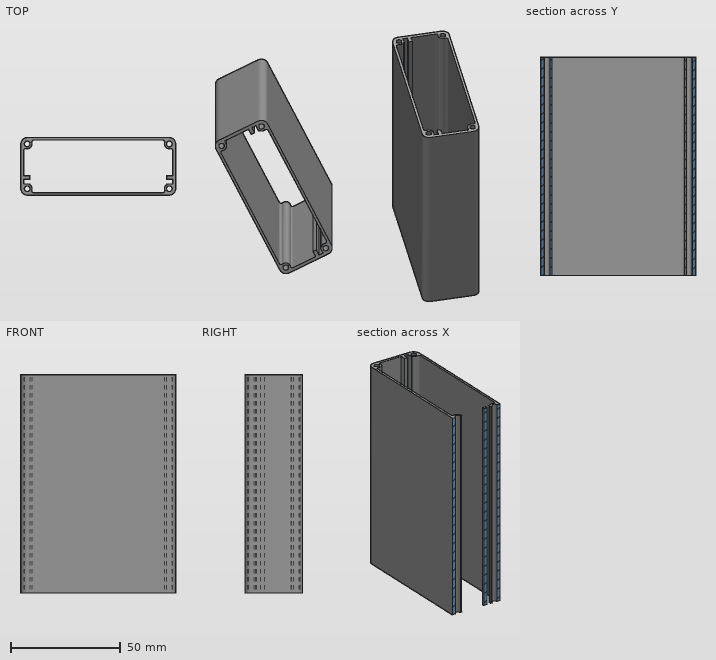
import cadquery as cq
import math

width = 71.0
depth = 26.5
length = 100.0
corner_radius = 3.25

side_wall = 1.5
face_wall = 1.2
cavity_corner_radius = 1.0

screw_inset = 3.0
screw_diameter = 2.5
boss_radius = 2.25
face_fillet = 1.0
side_fillet = 0.75

slot_bottom = screw_inset + boss_radius
slot_height = 2.0
rail_thickness = 1.75
rail_tip = 4.2

screw_x = width / 2 - screw_inset
screw_y = depth / 2 - screw_inset
cavity_x = width / 2 - side_wall
cavity_y = depth / 2 - face_wall
SIDES = (-1, 1)


def make_tube():
    """Rectangular tube with rounded outer corners."""
    outer = cq.Workplane("XY").rect(width, depth).extrude(length).edges("|Z").fillet(corner_radius)
    cavity = cq.Workplane("XY").rect(2 * cavity_x, 2 * cavity_y).extrude(length)
    cavity = cavity.edges("|Z").fillet(cavity_corner_radius)
    return outer.cut(cavity)


def screw_cylinders(radius):
    """Full-length cylinders on the four screw axes."""
    return (
        cq.Workplane("XY")
        .rect(2 * screw_x, 2 * screw_y, forConstruction=True)
        .vertices()
        .circle(radius)
        .extrude(length)
    )


def edge_at(body, x, y):
    """The edge along Z that passes through (x, y)."""
    return body.edges(cq.selectors.NearestToPointSelector((x, y, length / 2)))


def blend_bosses(body):
    """Fillet the inner corners where the bosses meet the walls."""
    reach_on_face = math.sqrt(boss_radius**2 - (cavity_y - screw_y) ** 2)
    reach_on_side = math.sqrt(boss_radius**2 - (cavity_x - screw_x) ** 2)
    for x_side in SIDES:
        for y_side in SIDES:
            face_edge = edge_at(body, x_side * (screw_x - reach_on_face), y_side * cavity_y)
            body = face_edge.fillet(face_fillet)
        side_edge = edge_at(body, x_side * cavity_x, screw_y - reach_on_side)
        body = side_edge.fillet(side_fillet)
    return body


def make_rail(x_side, bottom, top):
    """Bar along Z from a side wall to the rail tip, between two heights above the -Y face."""
    outer_x = width / 2 - side_wall / 2
    tip_x = width / 2 - rail_tip
    center = (x_side * (outer_x + tip_x) / 2, (bottom + top) / 2 - depth / 2)
    return cq.Workplane("XY").center(*center).rect(outer_x - tip_x, top - bottom).extrude(length)


def add_slots(body):
    """Upper rail and lower ledge that form the board slot on each side wall."""
    rail_bottom = slot_bottom + slot_height
    for x_side in SIDES:
        body = body.union(make_rail(x_side, rail_bottom, rail_bottom + rail_thickness))
        body = body.union(make_rail(x_side, screw_inset, slot_bottom))
    return body


enclosure = make_tube().union(screw_cylinders(boss_radius))
enclosure = add_slots(blend_bosses(enclosure))
result = enclosure.cut(screw_cylinders(screw_diameter / 2))